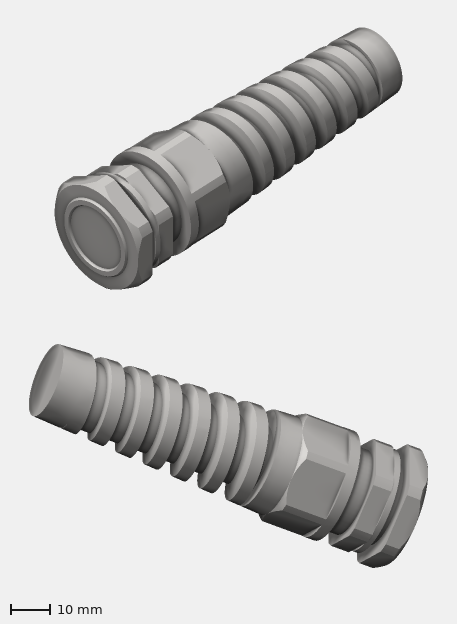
import cadquery as cq
import math

TOTAL_LENGTH = 102.0

FLANGE_DIA = 29.7
CAP_CORNER_DIA = 32.7
BODY_CORNER_DIA = FLANGE_DIA
LOCKNUT_CORNER_DIA = 29.4
WASHER_DIA = 28.0
THREAD_DIA = 22.5
NECK_DIA = 23.0
SEAL_BASE_DIA = 22.5
SEAL_RIM_DIA = 21.6
RECESS_RIM_DIA = 18.8
RECESS_FLOOR_DIA = 18.0
RECESS_DEPTH = 0.6
CORE_DIA = 17.7
TIP_DIA = 19.5

CAP_FLATS = FLANGE_DIA
BODY_FLATS = 26.7

SLEEVE_DIA = BODY_FLATS

CAP_FACE = 0.6
CAP_TOP = 5.9
THREAD_TOP = 8.1
WASHER_TOP = 9.7
LOCKNUT_TOP = 14.8
NECK_TOP = 19.9
FLANGE_TOP = 22.7
BODY_TOP = 35.6
COIL_BOTTOM = 41.6
COIL_TOP = 94.4

RIB_LOWER_PITCH = 8.0
RIB_UPPER_PITCH = 8.1
RIB_TURNS = 8.5
RIB_START = 32.8
RIB_START_ANGLE = -90.0
RIB_CREST_WIDTH = 3.1
RIB_FLANK_ANGLE = 20.0
RIB_OVERSHOOT = 0.5
RIB_ROOT_DEPTH = 4.7


def cylinder(diameter, bottom, top):
    return cq.Workplane("XY").workplane(offset=bottom).circle(diameter / 2).extrude(top - bottom)


def frustum(bottom_dia, top_dia, bottom, top):
    outline = [(0, bottom), (bottom_dia / 2, bottom), (top_dia / 2, top), (0, top)]
    return cq.Workplane("XZ").polyline(outline).close().revolve(360, (0, 0), (0, 1))


def hexagon(flats, bottom, top):
    """Hexagonal prism with two of its flats facing +X and -X."""
    corner_circle = flats / math.cos(math.radians(30))
    prism = cq.Workplane("XY").workplane(offset=bottom).polygon(6, corner_circle).extrude(top - bottom)
    return prism.rotate((0, 0, 0), (0, 0, 1), 30)


def cap():
    """Front nut: corners turned round, then chamfered at 45 degrees down to the flats."""
    chamfer = (CAP_CORNER_DIA - CAP_FLATS) / 2
    turned = frustum(CAP_FLATS, CAP_CORNER_DIA, CAP_FACE, CAP_FACE + chamfer)
    turned = turned.union(cylinder(CAP_CORNER_DIA, CAP_FACE + chamfer, CAP_TOP))
    seal = frustum(SEAL_RIM_DIA, SEAL_BASE_DIA, 0, CAP_FACE)
    recess = frustum(RECESS_RIM_DIA, RECESS_FLOOR_DIA, 0, RECESS_DEPTH)
    return hexagon(CAP_FLATS, CAP_FACE, CAP_TOP).intersect(turned).union(seal).cut(recess)


def locknut():
    turned = cylinder(LOCKNUT_CORNER_DIA, WASHER_TOP, LOCKNUT_TOP)
    return hexagon(BODY_FLATS, WASHER_TOP, LOCKNUT_TOP).intersect(turned)


def body_nut():
    """Main nut, chamfered at 45 degrees towards the bend protector."""
    chamfer = (BODY_CORNER_DIA - BODY_FLATS) / 2
    turned = cylinder(BODY_CORNER_DIA, FLANGE_TOP, BODY_TOP - chamfer)
    turned = turned.union(frustum(BODY_CORNER_DIA, BODY_FLATS, BODY_TOP - chamfer, BODY_TOP))
    return hexagon(BODY_FLATS, FLANGE_TOP, BODY_TOP).intersect(turned)


def spiral_rib():
    """Trapezoidal rib whose edges are conical helices following the taper of the bend protector."""
    taper = (SLEEVE_DIA - TIP_DIA) / 2 / (TOTAL_LENGTH - BODY_TOP)
    start_radius = SLEEVE_DIA / 2 + taper * (BODY_TOP - RIB_START)
    taper_angle = math.degrees(math.atan(taper))
    flank = math.tan(math.radians(RIB_FLANK_ANGLE))
    crest = RIB_CREST_WIDTH / 2 - RIB_OVERSHOOT * flank
    root = RIB_CREST_WIDTH / 2 + RIB_ROOT_DEPTH * flank
    inner = start_radius - RIB_ROOT_DEPTH
    outer = start_radius + RIB_OVERSHOOT
    section = [
        (inner, -root, RIB_LOWER_PITCH),
        (outer, -crest, RIB_LOWER_PITCH),
        (outer, crest, RIB_UPPER_PITCH),
        (inner, root, RIB_UPPER_PITCH),
    ]
    edges = []
    for radius, offset, pitch in section:
        helix = cq.Wire.makeHelix(pitch, pitch * RIB_TURNS, radius, angle=-taper_angle)
        edges.append(helix.translate(cq.Vector(0, 0, RIB_START + offset)))
    faces = [cq.Face.makeRuledSurface(edges[i - 1], edges[i]) for i in range(len(edges))]
    start_corners = [edge.startPoint() for edge in edges]
    end_corners = [edge.endPoint() for edge in edges]
    for corners in (start_corners, end_corners):
        faces.append(cq.Face.makeFromWires(cq.Wire.makePolygon(corners, close=True)))
    rib = cq.Solid.makeSolid(cq.Shell.makeShell(faces))
    return cq.Workplane(rib).rotate((0, 0, 0), (0, 0, 1), RIB_START_ANGLE)


def bend_protector():
    """Tapered sleeve cut down to its core between two collars, leaving the spiral rib."""
    sleeve = frustum(SLEEVE_DIA, TIP_DIA, BODY_TOP, TOTAL_LENGTH)
    core = cylinder(CORE_DIA, COIL_BOTTOM, COIL_TOP)
    space = cylinder(FLANGE_DIA, COIL_BOTTOM, COIL_TOP).cut(core)
    return sleeve.cut(space.cut(spiral_rib()))


gland = (
    cap()
    .union(cylinder(THREAD_DIA, CAP_TOP, THREAD_TOP))
    .union(cylinder(WASHER_DIA, THREAD_TOP, WASHER_TOP))
    .union(locknut())
    .union(cylinder(NECK_DIA, LOCKNUT_TOP, NECK_TOP))
    .union(cylinder(FLANGE_DIA, NECK_TOP, FLANGE_TOP))
    .union(body_nut())
    .union(bend_protector())
)

result = gland.rotate((0, 0, 0), (1, 0, 0), -90)